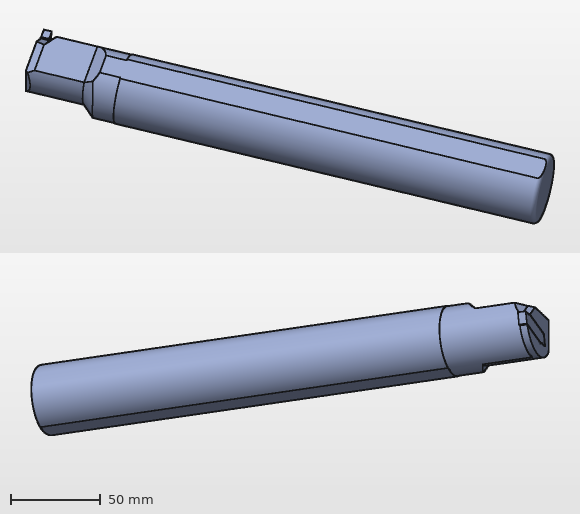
import cadquery as cq
import math


total_length = 299.97
shank_radius = 20.0
flat_height = 18.75
shank_end_fillet = 2.5
neck_radius = 19.75
neck_end = 54.5

head_length = 34.3
head_radius = 19.0
head_offset = 6.4
shoulder_angle = 42.0
head_top = 10.6
head_setback = 0.2
blade_thickness = 4.6
top_bevel_length = 5.4
top_bevel_drop = 2.75
side_chamfer = 3.8

clearance_edge = 20.7
clearance_angle = 43.0
clearance_floor_end = 5.6
clearance_depth = 40.0
clearance_length = 60.0

tip_reach = 27.0
insert_width = 4.7
insert_tilt = 10.0
tip_land = 5.4
chip_breaker_rise = 0.6
insert_center_y = 12.05
insert_center_z = -5.0
insert_flank_y = 25.2

margin = 50.0


def rod(radius, start, end, center_y=0.0):
    """Cylinder along X between two X positions."""
    return cq.Workplane("YZ", origin=(start, center_y, 0)).circle(radius).extrude(end - start)


def make_shank():
    """Full-diameter shank with a rounded end and flats on its top and bottom."""
    shank = rod(shank_radius, neck_end, total_length).faces(">X").edges().fillet(shank_end_fillet)
    between_flats = cq.Workplane("XY").box(2 * total_length, 2 * margin, 2 * flat_height)
    return shank.intersect(between_flats)


def make_front():
    """Neck, conical shoulder, slim head and blade, before the angled cuts."""
    shoulder_rise = margin * math.tan(math.radians(shoulder_angle))
    envelope = (
        cq.Workplane("XY")
        .moveTo(0, 0)
        .lineTo(0, head_radius)
        .lineTo(head_length, head_radius)
        .lineTo(head_length + margin, head_radius + shoulder_rise)
        .lineTo(head_length + margin, 0)
        .close()
        .revolve(360, (0, 0, 0), (1, 0, 0))
        .translate((0, head_offset, 0))
    )
    blade = rod(head_radius, head_setback, blade_thickness, head_offset)
    return rod(neck_radius, head_setback, neck_end).intersect(envelope).union(blade)


def make_top_profile():
    """Block under the stepped top: front bevel, head flat, 45 degree ramp, clamping flat."""
    ramp_length = flat_height - head_top
    return (
        cq.Workplane("XZ", origin=(0, margin, 0))
        .moveTo(0, -margin)
        .lineTo(0, head_top - top_bevel_drop)
        .lineTo(top_bevel_length, head_top)
        .lineTo(head_length, head_top)
        .lineTo(head_length + ramp_length, flat_height)
        .lineTo(total_length, flat_height)
        .lineTo(total_length, -margin)
        .close()
        .extrude(2 * margin)
    )


def make_side_chamfer():
    """Wedge that bevels the front corner on the -Y side."""
    side = head_offset - head_radius
    return (
        cq.Workplane("XY", origin=(0, 0, -margin))
        .moveTo(-side_chamfer, side + 2 * side_chamfer)
        .lineTo(2 * side_chamfer, side - side_chamfer)
        .lineTo(-side_chamfer, side - side_chamfer)
        .close()
        .extrude(2 * margin)
    )


def make_chip_clearance():
    """Cut along the sloping floor, ending in a 45 degree rise; it stays above the insert."""
    groove = (
        cq.Workplane("XZ", origin=(0, clearance_length, 0))
        .moveTo(-margin, 0)
        .lineTo(clearance_floor_end, 0)
        .lineTo(clearance_floor_end + clearance_depth, clearance_depth)
        .lineTo(-margin, clearance_depth)
        .close()
        .extrude(2 * clearance_length)
        .rotate((0, 0, 0), (1, 0, 0), -clearance_angle)
        .translate((0, clearance_edge, 0))
    )
    above_insert = cq.Workplane("XY").rect(4 * margin, 4 * margin).extrude(margin)
    return groove.intersect(above_insert)


def make_insert():
    """Point-symmetric bar with a land, a chip breaker and a relieved flank at each end."""
    land_end = tip_reach - tip_land
    crest_y = land_end - chip_breaker_rise / math.tan(math.radians(clearance_angle))
    far_flank_y = 2 * insert_center_y - insert_flank_y
    far_flank_z = chip_breaker_rise - (crest_y - far_flank_y) * math.tan(math.radians(insert_tilt))
    half = [
        (tip_reach, 0),
        (land_end, 0),
        (crest_y, chip_breaker_rise),
        (far_flank_y, far_flank_z),
    ]
    opposite_half = [(2 * insert_center_y - y, 2 * insert_center_z - z) for y, z in half]
    return cq.Workplane("YZ").polyline(half + opposite_half).close().extrude(insert_width)


insert = make_insert()
holder = (
    make_front()
    .union(make_shank())
    .intersect(make_top_profile())
    .cut(make_side_chamfer())
    .cut(make_chip_clearance())
    .cut(insert)
)

result = cq.Compound.makeCompound([holder.solids().val(), insert.val()])